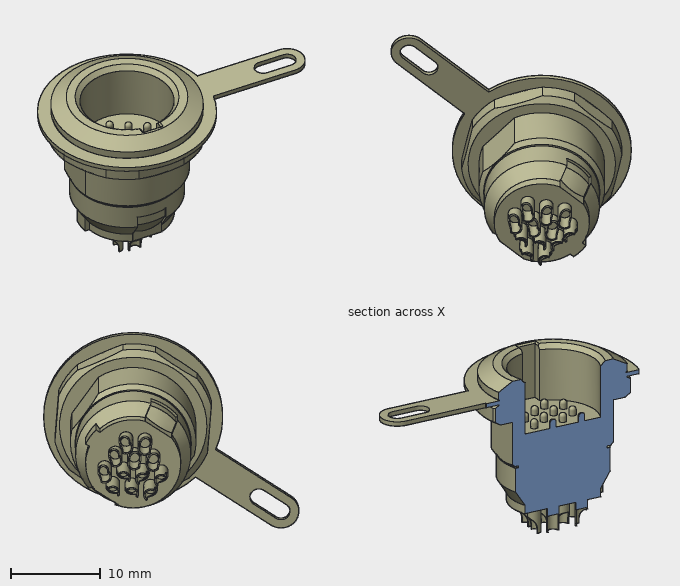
import cadquery as cq
import math


bezel_radius = 8.5
rim_radius = 6.8
bezel_cone_height = 1.0
bezel_bottom_chamfer = 0.13

overall_length = 32
washer_diameter = 20.0
washer_radius = washer_diameter / 2
washer_top = -2.0
washer_thickness = 0.55
strap_width = 4.0
strap_tip = overall_length - washer_radius
strap_slot_width = strap_width / 2
strap_slot_length = 5.0

nut_across_flats = 17.1
nut_corner_radius = 9.0
nut_top = -2.43
nut_bottom = -5.05
nut_chamfer_height = 0.48
nut_chamfer_depth = 0.77

body_radius = 7.0
body_across_flats = 13.0
body_bottom = -10.5
body_chamfer = 0.5

groove_radius = 6.08
sleeve_radius = 6.43
sleeve_top = -10.7
cone_top = -13.6
cone_bottom = -15.45
disc_radius = 5.3
disc_bottom = -16.5

recess_width = 3.6
recess_top = -12.2
recess_floor_radius = 6.15
recess_cone_top = -13.55
recess_cone_bottom = -15.52
recess_flat_offset = 5.0

key_width = 2.05
key_radius = 5.82
key_top = -14.62

bore_radius = 5.25
bore_chamfer = 0.55
bore_floor = -6.75
keyway_width = 2.18
keyway_reach = 6.25
keyway_chamfer = 0.2

contact_pitch = 2.1
row_spacing = contact_pitch * math.sin(math.radians(60))
first_row_y = 3.07
pin_radius = 0.4
pin_height = 1.02
cup_radius = 0.77
cup_bore_radius = 0.6
cup_bore_depth = 1.95
cup_length = 2.88
short_cup_length = 2.37
cup_cut_straight = 0.48
cup_cut_radius = 1.5

row_counts = [2, 3, 4, 3]


def cylinder(radius, top, bottom):
    return cq.Workplane("XY").workplane(offset=bottom).circle(radius).extrude(top - bottom)


def box(x_range, y_range, z_range):
    size = [high - low for low, high in (x_range, y_range, z_range)]
    corner = (x_range[0], y_range[0], z_range[0])
    return cq.Workplane("XY").box(*size, centered=False).translate(corner)


def revolved(points):
    """Solid of revolution about Z from (radius, level) points."""
    return cq.Workplane("XZ").polyline(points).close().revolve(360, (0, 0), (0, 1))


def bezel():
    return revolved([
        (0, 0),
        (rim_radius, 0),
        (bezel_radius, -bezel_cone_height),
        (bezel_radius, washer_top + bezel_bottom_chamfer),
        (bezel_radius - bezel_bottom_chamfer, washer_top),
        (0, washer_top),
    ])


def washer():
    strap_end_y = strap_tip - strap_width / 2
    slot_top_y = strap_tip - (strap_width - strap_slot_width) / 2
    plane = cq.Workplane("XY").workplane(offset=washer_top - washer_thickness)
    ring = plane.circle(washer_radius).extrude(washer_thickness)
    strap = plane.center(0, strap_end_y / 2).rect(strap_width, strap_end_y).extrude(washer_thickness)
    tip = plane.center(0, strap_end_y).circle(strap_width / 2).extrude(washer_thickness)
    slot = (
        plane.center(0, slot_top_y - strap_slot_length / 2)
        .slot2D(strap_slot_length, strap_slot_width, 90)
        .extrude(washer_thickness)
    )
    return ring.union(strap).union(tip).cut(slot)


def nut():
    hexagon = (
        cq.Workplane("XY")
        .workplane(offset=nut_bottom)
        .polygon(6, nut_across_flats, circumscribed=True)
        .extrude(nut_top - nut_bottom)
    )
    end_radius = nut_corner_radius - nut_chamfer_depth
    envelope = revolved([
        (0, nut_top),
        (end_radius, nut_top),
        (nut_corner_radius, nut_top - nut_chamfer_height),
        (nut_corner_radius, nut_bottom + nut_chamfer_height),
        (end_radius, nut_bottom),
        (0, nut_bottom),
    ])
    return hexagon.intersect(envelope)


def body():
    barrel = cylinder(body_radius, washer_top, body_bottom).faces("<Z").chamfer(body_chamfer)
    half_flats = body_across_flats / 2
    slab = box((-body_radius, body_radius), (-half_flats, half_flats), (body_bottom, washer_top))
    return barrel.intersect(slab)


def side_recess():
    """Cutter for the +X recess: a slot whose floor is a cylinder, a cone and a flat."""
    half_width = recess_width / 2
    slot = box((recess_flat_offset, sleeve_radius), (-half_width, half_width), (disc_bottom, recess_top))
    floor = revolved([
        (0, recess_top),
        (recess_floor_radius, recess_top),
        (recess_floor_radius, recess_cone_top),
        (recess_flat_offset, recess_cone_bottom),
        (0, recess_cone_bottom),
    ])
    return slot.cut(floor)


def rear_sleeve():
    sleeve = revolved([
        (0, body_bottom),
        (groove_radius, body_bottom),
        (groove_radius, sleeve_top),
        (sleeve_radius, sleeve_top),
        (sleeve_radius, cone_top),
        (disc_radius, cone_bottom),
        (disc_radius, disc_bottom),
        (0, disc_bottom),
    ])
    recess = side_recess()
    sleeve = sleeve.cut(recess).cut(recess.mirror("YZ"))
    half_key = key_width / 2
    key_block = box((-half_key, half_key), (-key_radius, 0), (disc_bottom, key_top))
    return sleeve.union(cylinder(key_radius, key_top, disc_bottom).intersect(key_block))


def socket():
    """Cutter for the chamfered bore and its keyway on the +X side."""
    bore = revolved([
        (0, 0),
        (bore_radius + bore_chamfer, 0),
        (bore_radius, -bore_chamfer),
        (bore_radius, bore_floor),
        (0, bore_floor),
    ])
    half_width = keyway_width / 2
    keyway = box((0, keyway_reach), (-half_width, half_width), (bore_floor, 0))
    flare = (
        cq.Workplane("XY")
        .center(keyway_reach / 2, 0)
        .rect(keyway_reach + 2 * keyway_chamfer, keyway_width + 2 * keyway_chamfer)
        .extrude(-keyway_chamfer, taper=45)
    )
    return bore.union(keyway).union(flare)


def pin():
    """Round-nosed contact pin standing on the socket floor."""
    nose_center = bore_floor + pin_height - pin_radius
    nose = cq.Workplane("XY").sphere(pin_radius).translate((0, 0, nose_center))
    return cylinder(pin_radius, nose_center, bore_floor).union(nose)


def solder_cup(length, angle):
    """Hollow cup with its open side turned to the given angle from +X."""
    tip = disc_bottom - length
    cut_end = tip + cup_cut_straight
    cup = cylinder(cup_radius, disc_bottom, tip)
    cup = cup.cut(cylinder(cup_bore_radius, tip + cup_bore_depth, tip))
    scoop = (
        cq.Workplane("XZ")
        .center(cup_cut_radius, cut_end)
        .circle(cup_cut_radius)
        .extrude(cup_radius, both=True)
    )
    mouth = box((0, cup_radius), (-cup_radius, cup_radius), (tip, cut_end))
    return cup.cut(scoop).cut(mouth).rotate((0, 0, 0), (0, 0, 1), angle)


def contact_layout():
    """Position, cup length and cup direction of every contact."""
    layout = []
    last_row = len(row_counts) - 1
    for row, count in enumerate(row_counts):
        y = first_row_y - row * row_spacing
        for column in range(count):
            x = (column - (count - 1) / 2) * contact_pitch
            if row == last_row:
                angle = -90
            elif row == 0 or x == 0:
                angle = 90
            else:
                angle = 0 if x > 0 else 180
            is_short = row == last_row and x == 0
            layout.append((x, y, short_cup_length if is_short else cup_length, angle))
    return layout


result = bezel().union(washer()).union(nut()).union(body()).union(rear_sleeve()).cut(socket())
for x, y, length, angle in contact_layout():
    result = result.union(pin().translate((x, y, 0)))
    result = result.union(solder_cup(length, angle).translate((x, y, 0)))